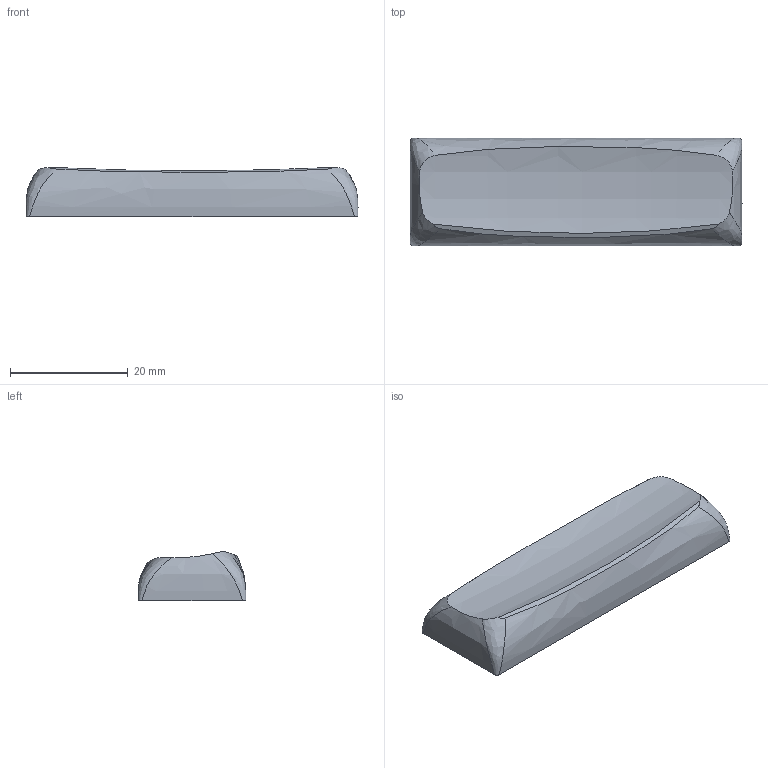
import cadquery as cq
import math

length = 56.37
width = 18.3

front_lean_start, front_lean_radius = 1.5, 14.0
back_lean_start, back_lean_radius = 1.5, 9.0
end_lean_start, end_lean_radius = 2.5, 8.2

bow_height = 8.2
long_wall_bow = 1.6
end_wall_bow = 0.5

base_corner_radius = 0.6
corner_radius_growth = 0.32

section_heights = (0, 1.25, 2.5, 4, 5.5, 7, 9)

dish_length_radius = 260.0
dish_width_radius = 27.0
dish_low_y = 2.9
dish_low_z = 5.9

lip_y = -7.2
lip_z = 7.74
lip_angle = 20.0
lip_cut_depth = 6.0
lip_cut_height = 4.0


def lean(z, start, radius):
    """Inward travel of a wall that follows a circle above its start height."""
    rise = max(z - start, 0)
    return radius - math.sqrt(radius**2 - rise**2)


def body_section(z):
    """Horizontal outline of the body: four bowed sides with rounded corners."""
    growth = (z / bow_height) ** 3
    front = -width / 2 + lean(z, front_lean_start, front_lean_radius)
    back = width / 2 - lean(z, back_lean_start, back_lean_radius)
    end = length / 2 - lean(z, end_lean_start, end_lean_radius)
    corner_x = end - end_wall_bow * growth
    corner_front = front + long_wall_bow * growth
    corner_back = back - long_wall_bow * growth
    middle = (corner_front + corner_back) / 2

    outline = cq.Workplane("XY", origin=(0, 0, z)).moveTo(-corner_x, corner_front)
    if growth > 0:
        outline = (
            outline.threePointArc((0, front), (corner_x, corner_front))
            .threePointArc((end, middle), (corner_x, corner_back))
            .threePointArc((0, back), (-corner_x, corner_back))
            .threePointArc((-end, middle), (-corner_x, corner_front))
        )
    else:
        outline = (
            outline.lineTo(corner_x, corner_front)
            .lineTo(corner_x, corner_back)
            .lineTo(-corner_x, corner_back)
            .close()
        )
    wire = outline.wire().val()
    radius = base_corner_radius + corner_radius_growth * z
    return wire.fillet2D(radius, wire.Vertices())


def make_body():
    """Smooth loft through the horizontal outlines."""
    return cq.Workplane(cq.Solid.makeLoft([body_section(z) for z in section_heights]))


def make_dish():
    """Torus whose lowest side forms the concave top."""
    center = cq.Vector(0, dish_low_y, dish_low_z + dish_length_radius)
    major_radius = dish_length_radius - dish_width_radius
    return cq.Solid.makeTorus(major_radius, dish_width_radius, center, cq.Vector(0, 1, 0))


def make_lip_cut():
    """Block whose sloped underside trims the front rim of the dish."""
    block = cq.Workplane("XY").box(length, lip_cut_depth, lip_cut_height, centered=(True, True, False))
    return block.rotate((0, 0, 0), (1, 0, 0), lip_angle).translate((0, lip_y, lip_z))


result = make_body().cut(cq.Workplane(make_dish())).cut(make_lip_cut())